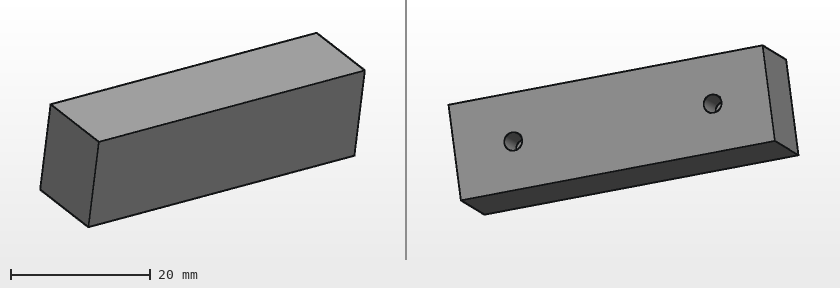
import cadquery as cq
import math

outer_y = 48.75
width = 11.85
height = 14.15
tilt_angle = 7.5
tilt = math.radians(tilt_angle)
length = (outer_y - height * math.sin(tilt)) / math.cos(tilt)

hole_diameter = 2.7
hole_depth = width / 2
hole_spacing = 30.0
hole_pair_shift = -0.2


def make_block():
    return cq.Workplane("XY").box(width, length, height)


def make_holes():
    """Cylinders running inward from the -X side."""
    hole_centers = [(hole_pair_shift + side * hole_spacing / 2, 0) for side in (-1, 1)]
    return (
        cq.Workplane("YZ", origin=(-width / 2, 0, 0))
        .pushPoints(hole_centers)
        .circle(hole_diameter / 2)
        .extrude(hole_depth)
    )


result = make_block().cut(make_holes()).rotate((0, 0, 0), (1, 0, 0), -tilt_angle)